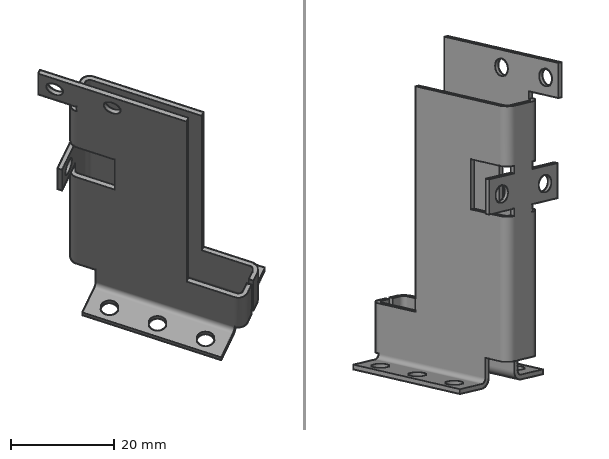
import cadquery as cq

sheet = 1.0
bend_inner = 1.0
bend_outer = bend_inner + sheet
hole_diameter = 3.5

length = 43.0
foot_span = 23.0
height = 65.5

channel_width = 9.0
web_x = 6.0
column_right = 31.0
web_bottom = 6.0
channel_top = 57.0
lip_top = 12.0
lip_gap = 1.0

window_right = 16.0
window_bottom = 35.0
window_height = 10.0
window_center_z = window_bottom + window_height / 2

tab_span = 19.0
tab_height = 7.0
tab_hole_spacing = 12.0

ear_height = 7.0
neck_x = web_x + bend_outer
ear_hole_edge = 3.5
ear_hole_spacing = 12.0

foot_left = 12.0
foot_right = length - bend_outer
foot_hole_first_x = 16.5
foot_hole_pitch = 10.0
foot_hole_count = 3
foot_hole_spacing_y = 17.0


def block(x0, x1, y0, y1, z0, z1):
    """Box given by its limits along each axis."""
    return cq.Workplane("XY").box(x1 - x0, y1 - y0, z1 - z0, centered=False).translate((x0, y0, z0))


def rounded_column(offset, radius):
    """Upright rounded block, set inward from the channel's outer faces."""
    column = block(
        web_x + offset, length - offset,
        -channel_width / 2 + offset, channel_width / 2 - offset,
        bend_outer, channel_top,
    )
    return column.edges("|Z").fillet(radius)


def make_channel():
    tube = rounded_column(0, bend_outer).cut(rounded_column(sheet, bend_inner))
    side_outline = (
        cq.Workplane("XZ")
        .moveTo(web_x, web_bottom)
        .lineTo(web_x, channel_top)
        .lineTo(column_right, channel_top)
        .lineTo(column_right, lip_top)
        .lineTo(length, lip_top)
        .lineTo(length, bend_outer)
        .lineTo(foot_left, bend_outer)
        .lineTo(foot_left, web_bottom)
        .close()
        .extrude(channel_width / 2, both=True)
    )
    gap = block(foot_right, length, -lip_gap / 2, lip_gap / 2, 0, lip_top)
    return tube.intersect(side_outline).cut(gap)


def cut_windows(body):
    """Open both walls and their web bends, leaving the flat of the web."""
    flat_half = channel_width / 2 - bend_outer
    window_top = window_bottom + window_height
    for y0, y1 in ((-channel_width / 2, -flat_half), (flat_half, channel_width / 2)):
        body = body.cut(block(web_x, window_right, y0, y1, window_bottom, window_top))
    return body


def make_cross_tab():
    tab = block(
        web_x, web_x + sheet, -tab_span / 2, tab_span / 2,
        window_center_z - tab_height / 2, window_center_z + tab_height / 2,
    )
    holes = (
        cq.Workplane("YZ", origin=(web_x, 0, window_center_z))
        .pushPoints([(-tab_hole_spacing / 2, 0), (tab_hole_spacing / 2, 0)])
        .circle(hole_diameter / 2)
        .extrude(sheet)
    )
    return tab.cut(holes)


def make_ear():
    front = -channel_width / 2
    ear_bottom = height - ear_height
    ear = block(0, column_right, front, front + sheet, ear_bottom, height)
    neck = block(neck_x, column_right, front, front + sheet, channel_top, ear_bottom)
    holes = (
        cq.Workplane("XZ", origin=(ear_hole_edge, front + sheet, height - ear_hole_edge))
        .pushPoints([(0, 0), (ear_hole_spacing, 0)])
        .circle(hole_diameter / 2)
        .extrude(sheet)
    )
    return ear.union(neck).cut(holes)


def make_back_foot():
    """Bend and foot plate below the +Y wall."""
    outer_y = channel_width / 2
    inner_y = outer_y - sheet
    bend_center_y = outer_y + bend_inner
    foot = (
        cq.Workplane("YZ", origin=(foot_left, 0, 0))
        .moveTo(inner_y, bend_outer)
        .radiusArc((bend_center_y, 0), -bend_outer)
        .lineTo(foot_span / 2, 0)
        .lineTo(foot_span / 2, sheet)
        .lineTo(bend_center_y, sheet)
        .radiusArc((outer_y, bend_outer), bend_inner)
        .close()
        .extrude(foot_right - foot_left)
    )
    hole_points = [
        (foot_hole_first_x + i * foot_hole_pitch, foot_hole_spacing_y / 2)
        for i in range(foot_hole_count)
    ]
    holes = cq.Workplane("XY").pushPoints(hole_points).circle(hole_diameter / 2).extrude(sheet)
    return foot.cut(holes)


back_foot = make_back_foot()
front_foot = back_foot.mirror("XZ")

result = (
    cut_windows(make_channel())
    .union(make_cross_tab())
    .union(make_ear())
    .union(back_foot)
    .union(front_foot)
)